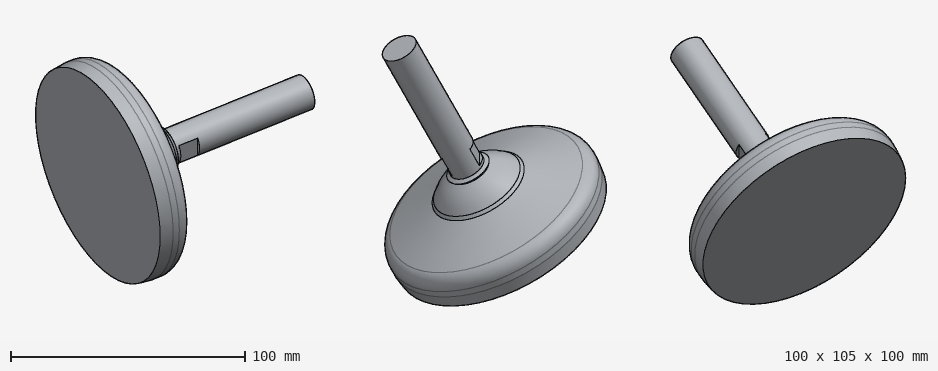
import cadquery as cq
import math

total_length = 105.0

base_radius = 50.0
underside_radius = 49.2
draft_height = 6.1
rim_height = 9.2
shoulder_radius = 7.0
slope_angle = math.radians(19)
lip_bottom_radius = 21.6
lip_bottom_height = 24.0
seat_radius = 20.4
seat_height = 25.4

dome_radius = 25.6
neck_radius = 9.5
collar_radius = 10.0
collar_height = 34.5
shank_radius = 8.0
shank_bottom_height = 35.5
flat_width = 12.9
flat_bottom_height = 37.0
flat_length = 9.6

dome_center_height = seat_height - math.sqrt(dome_radius**2 - seat_radius**2)


def dome_height(radius):
    """Height of the dome surface at a distance from the axis."""
    return dome_center_height + math.sqrt(dome_radius**2 - radius**2)


def dome_radius_at(height):
    """Distance of the dome surface from the axis at a height."""
    return math.sqrt(dome_radius**2 - (height - dome_center_height) ** 2)


def shoulder_point(angle):
    """Point on the shoulder arc, with the angle measured from the Y direction."""
    return (
        base_radius - shoulder_radius + shoulder_radius * math.sin(angle),
        rim_height + shoulder_radius * math.cos(angle),
    )


def turn(profile):
    """Revolve a closed half profile about the Y axis."""
    return profile.close().revolve(360, (0, 0), (0, 1))


def make_base():
    middle_angle = (slope_angle + math.pi / 2) / 2
    profile = (
        cq.Workplane("XY")
        .moveTo(0, 0)
        .lineTo(underside_radius, 0)
        .lineTo(base_radius, draft_height)
        .lineTo(base_radius, rim_height)
        .threePointArc(shoulder_point(middle_angle), shoulder_point(slope_angle))
        .lineTo(lip_bottom_radius, lip_bottom_height)
        .lineTo(seat_radius, seat_height)
        .lineTo(0, seat_height)
    )
    return turn(profile)


def make_stud():
    neck_height = dome_height(neck_radius)
    middle_height = (seat_height + neck_height) / 2
    profile = (
        cq.Workplane("XY")
        .moveTo(0, seat_height)
        .lineTo(seat_radius, seat_height)
        .threePointArc((dome_radius_at(middle_height), middle_height), (neck_radius, neck_height))
        .lineTo(collar_radius, collar_height)
        .lineTo(shank_radius, shank_bottom_height)
        .lineTo(shank_radius, total_length)
        .lineTo(0, total_length)
    )
    stud = turn(profile)
    for side in (-1, 1):
        stud = stud.cut(make_flat_cutter(side))
    return stud


def make_flat_cutter(side):
    """Block outside one wrench flat, on the -X or +X side of the shank."""
    cutter_depth = shank_radius
    return cq.Workplane("XY").box(cutter_depth, flat_length, 2 * shank_radius).translate(
        (side * (flat_width + cutter_depth) / 2, flat_bottom_height + flat_length / 2, 0)
    )


base = make_base()
stud = make_stud()
result = cq.Compound.makeCompound([base.val(), stud.val()])